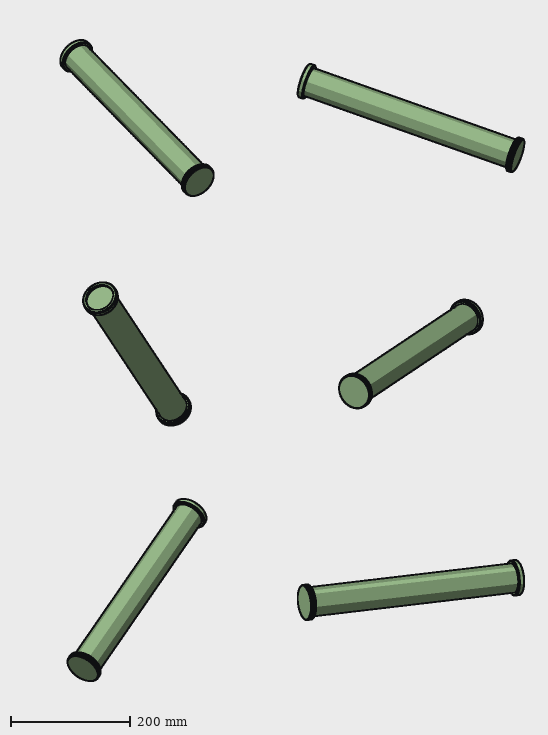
import cadquery as cq

length = 389.0
flange_diameter = 60.0
barrel_diameter = 49.8
flange_width = 10.0
edge_chamfer = 1.5

recess_diameter = 48.2
recess_depth = 5.0

groove_width = 2.0
groove_depth = 1.0
groove_to_end = 4.5

flange_radius = flange_diameter / 2


def disc(start, width, diameter):
    """Solid cylinder along X, starting at the given X position."""
    return cq.Workplane("YZ", origin=(start, 0, 0)).circle(diameter / 2).extrude(width)


def flange(start):
    """End flange with both rims chamfered."""
    return disc(start, flange_width, flange_diameter).edges().chamfer(edge_chamfer)


def groove_cutter():
    """Ring with a triangular section, its point towards the axis."""
    center = length / 2 - groove_to_end
    return (
        cq.Workplane("XY")
        .moveTo(center - groove_width / 2, flange_radius)
        .lineTo(center, flange_radius - groove_depth)
        .lineTo(center + groove_width / 2, flange_radius)
        .close()
        .revolve(360, (0, 0, 0), (1, 0, 0))
    )


barrel = disc(-length / 2 + flange_width / 2, length - flange_width, barrel_diameter)
plain_flange = flange(-length / 2)
grooved_flange = flange(length / 2 - flange_width).cut(groove_cutter())
recess = disc(-length / 2, recess_depth, recess_diameter)

result = barrel.union(plain_flange).union(grooved_flange).cut(recess)